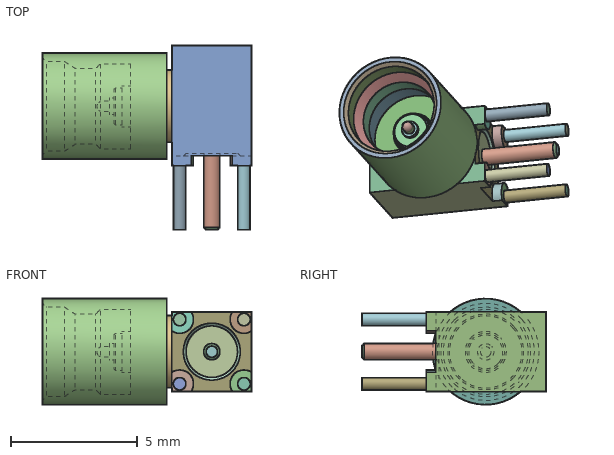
import cadquery as cq


total_length = 8.27
body_side = 3.15
body_top = 2.4
foot_height = 0.39
foot_end = -2.35
pin_end = -4.89

barrel_radius = 2.1
barrel_length = 4.92
neck_radius = 1.43
mouth_radius = 1.92
bore_radius = 1.77
seat_radius = 1.5
taper_start = 0.87
taper_end = 1.29
undercut_start = 2.1
undercut_radius = 1.68
bore_depth = 3.47

collar_radius = 0.81
collar_height = 0.33
insulator_radius = 0.74
insulator_height = 0.66
insulator_chamfer = 0.07
contact_radius = 0.32
contact_shoulder_height = 0.83
contact_tip_radius = 0.21
contact_height = 1.32

pin_pitch = 2.54
pin_radius = 0.25
foot_radius = 0.545
centre_pin_radius = 0.32
centre_pin_chamfer = 0.1
recess_radius = 1.125
recess_floor_radius = 1.02
recess_depth = 0.11

body_start = total_length - body_side
body_centre = total_length - body_side / 2
base_face = foot_end + foot_height
corner_pins = [
    (body_centre + side_x * pin_pitch / 2, side_z * pin_pitch / 2)
    for side_x in (-1, 1)
    for side_z in (-1, 1)
]


def revolve_about_x(profile):
    """Solid of revolution about the barrel axis from (x, radius) points."""
    outline = cq.Workplane("XY").polyline(profile).close()
    return outline.revolve(360, (0, 0, 0), (1, 0, 0))


def cylinder_along_y(x, z, radius, y_low, y_high):
    """Round bar parallel to Y between two Y levels."""
    bar = cq.Solid.makeCylinder(radius, y_high - y_low, cq.Vector(x, y_low, z), cq.Vector(0, 1, 0))
    return cq.Workplane(obj=bar)


def block(y_low, y_high):
    """Full square section of the body between two Y levels."""
    height = y_high - y_low
    return cq.Workplane("XY").box(body_side, height, body_side).translate(
        (body_centre, (y_low + y_high) / 2, 0)
    )


def make_barrel():
    outside = [
        (0, 0),
        (0, barrel_radius),
        (barrel_length, barrel_radius),
        (barrel_length, neck_radius),
        (body_start, neck_radius),
        (body_start, 0),
    ]
    bore = [
        (0, 0),
        (0, mouth_radius),
        (mouth_radius - bore_radius, bore_radius),
        (taper_start, bore_radius),
        (taper_end, seat_radius),
        (undercut_start, seat_radius),
        (undercut_start + undercut_radius - seat_radius, undercut_radius),
        (bore_depth, undercut_radius),
        (bore_depth, 0),
    ]
    return revolve_about_x(outside).cut(revolve_about_x(bore))


def make_contact():
    """Stepped insulator with a round-nosed contact, rising from the bore floor toward the mouth."""
    insulator_face = bore_depth - insulator_height
    shoulder = bore_depth - contact_shoulder_height
    nose = bore_depth - contact_height
    outline = (
        cq.Workplane("XY")
        .moveTo(bore_depth, 0)
        .lineTo(bore_depth, collar_radius)
        .lineTo(bore_depth - collar_height, collar_radius)
        .lineTo(bore_depth - collar_height, insulator_radius)
        .lineTo(insulator_face + insulator_chamfer, insulator_radius)
        .lineTo(insulator_face, insulator_radius - insulator_chamfer)
        .lineTo(insulator_face, contact_radius)
        .lineTo(shoulder, contact_radius)
        .lineTo(shoulder, contact_tip_radius)
        .lineTo(nose + contact_tip_radius, contact_tip_radius)
        .radiusArc((nose, 0), -contact_tip_radius)
        .close()
    )
    return outline.revolve(360, (0, 0, 0), (1, 0, 0))


def make_body():
    body = block(base_face, body_top)
    feet_slab = block(foot_end, base_face)
    for x, z in corner_pins:
        foot = cylinder_along_y(x, z, foot_radius, foot_end, base_face)
        body = body.union(foot.intersect(feet_slab))
    recess = cq.Solid.makeCone(
        recess_radius,
        recess_floor_radius,
        recess_depth,
        cq.Vector(body_centre, base_face, 0),
        cq.Vector(0, 1, 0),
    )
    return body.cut(cq.Workplane(obj=recess))


def make_centre_pin():
    pin = cylinder_along_y(body_centre, 0, centre_pin_radius, pin_end, base_face + recess_depth)
    return pin.faces("<Y").chamfer(centre_pin_chamfer)


result = make_barrel().union(make_contact()).union(make_body()).union(make_centre_pin())
for pin_x, pin_z in corner_pins:
    result = result.union(cylinder_along_y(pin_x, pin_z, pin_radius, pin_end, foot_end))